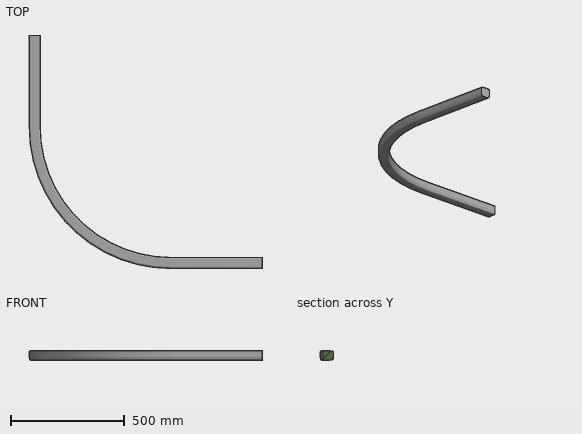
import cadquery as cq

span = 1024.0
width = 49.0
height = 43.0
straight_length = 403.0

top_round = 8.0
widest_level = 14.0
bottom_taper = 2.0
bottom_round = 7.0

half_width = width / 2
bend_radius = span - straight_length - half_width


def rail_path():
    """Centreline: a straight leg along Y, a quarter bend, a straight leg along X."""
    return (
        cq.Workplane("XY")
        .moveTo(half_width, span)
        .lineTo(half_width, span - straight_length)
        .radiusArc((span - straight_length, half_width), -bend_radius)
        .lineTo(span, half_width)
    )


def rail_section():
    """Closed section with rounded corners and a slight taper near the bottom."""
    shoulder_half = half_width - bottom_taper
    bottom_half = shoulder_half - bottom_round
    top_half = half_width - top_round
    return (
        cq.Workplane("XZ", origin=(half_width, span, 0))
        .moveTo(-bottom_half, 0)
        .lineTo(bottom_half, 0)
        .radiusArc((shoulder_half, bottom_round), -bottom_round)
        .lineTo(half_width, widest_level)
        .lineTo(half_width, height - top_round)
        .radiusArc((top_half, height), -top_round)
        .lineTo(-top_half, height)
        .radiusArc((-half_width, height - top_round), -top_round)
        .lineTo(-half_width, widest_level)
        .lineTo(-shoulder_half, bottom_round)
        .radiusArc((-bottom_half, 0), -bottom_round)
        .close()
    )


result = rail_section().sweep(rail_path())